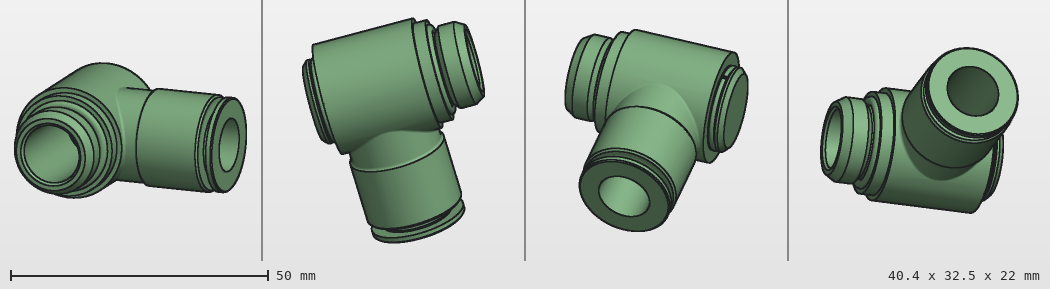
import cadquery as cq
import math


body_radius = 11.0
body_length = 20.0
body_front = -body_length / 2
body_rear = body_length / 2

flange_radius = 10.0
flange_thickness = 2.5
flange_front = body_front - flange_thickness
seal_center_radius = 8.15
seal_wire_radius = 0.9
thread_radius = 8.3
thread_root_radius = 7.2
neck_gap = 1.05
thread_start = flange_front - neck_gap
thread_lead_in = 1.05
stem_length = 9.5
stem_end = body_front - stem_length
stem_end_chamfer = 1.8

cap_radius = 8.4
cap_length = 3.0
cap_end = body_rear + cap_length
cap_chamfer = 1.0
groove_radius = 7.6
groove_shoulder = 0.1
groove_width = 1.35
groove_start = body_rear + groove_shoulder
groove_end = groove_start + groove_width
ring_wire_radius = 0.52
ring_outer_radius = 8.5
ring_center_y = groove_start + ring_wire_radius
ring_gap = 0.5
tab_length = 0.77
tab_end = groove_start + tab_length
tab_top = 7.8

neck_radius = 9.0
junction_fillet = 0.5
barrel_radius = 9.5
barrel_start = 13.8
barrel_fillet = 0.6
barrel_end = 26.5
barrel_chamfer = 0.42
end_face_radius = 8.1
end_face_bulge = 0.25
collet_radius = 6.75
collet_rim_radius = 9.25
collet_rim_start = 28.2
collet_flare_length = 0.25
collet_flare_rise = 0.1
collet_rim_chamfer = 0.25
branch_end = 29.4

stem_bore_radius = 5.75
stem_bore_chamfer = 0.5
drill_half_angle = math.radians(70)
branch_bore_radius = 5.2
drill_tip_beyond_branch_bore = 0.25


def turned_about_y(points):
    """Revolve a closed (radius, y) outline about the Y axis."""
    return cq.Workplane("XY").polyline(points).close().revolve(360, (0, 0, 0), (0, 1, 0))


def torus_about_y(center_radius, wire_radius, y):
    """Ring of round wire lying around the Y axis."""
    torus = cq.Solid.makeTorus(center_radius, wire_radius, cq.Vector(0, y, 0), cq.Vector(0, 1, 0))
    return cq.Workplane("XY").add(torus)


def make_body():
    """Plain body cylinder joined to the branch neck by a small fillet."""
    body = cq.Workplane("XZ").circle(body_radius).extrude(body_length / 2, both=True)
    neck = cq.Workplane("YZ").circle(neck_radius).extrude(barrel_start)
    joined = body.union(neck)
    margin = 0.1
    reach = neck_radius + margin
    junction_zone = cq.selectors.BoxSelector(
        (margin, -reach, -reach),
        (body_radius + margin, reach, reach),
        boundingbox=True,
    )
    return joined.edges(junction_zone).fillet(junction_fillet)


def make_stem():
    """Flange, seal ring and chamfered threaded end."""
    stem = turned_about_y([
        (0, 0),
        (flange_radius, 0),
        (flange_radius, flange_front),
        (thread_root_radius, flange_front),
        (thread_root_radius, thread_start),
        (thread_radius, thread_start - thread_lead_in),
        (thread_radius, stem_end + stem_end_chamfer),
        (thread_root_radius, stem_end),
        (0, stem_end),
    ])
    return stem.union(torus_about_y(seal_center_radius, seal_wire_radius, flange_front))


def make_cap():
    """Grooved rear cap with a retaining ring whose gap, at +Z, holds a small tab."""
    cap = turned_about_y([
        (0, 0),
        (cap_radius, 0),
        (cap_radius, groove_start),
        (groove_radius, groove_start),
        (groove_radius, groove_end),
        (cap_radius, groove_end),
        (cap_radius, cap_end - cap_chamfer),
        (cap_radius - cap_chamfer, cap_end),
        (0, cap_end),
    ])
    ring = torus_about_y(ring_outer_radius - ring_wire_radius, ring_wire_radius, ring_center_y)
    gap = cq.Workplane("XY").box(ring_gap, cap_end, body_radius, centered=(True, False, False))
    tab = cq.Workplane("XY").box(ring_gap, tab_end, tab_top, centered=(True, False, False))
    return cap.union(ring.cut(gap)).union(tab)


def make_branch():
    """Barrel with a filleted shoulder, and the release collet at its end."""
    fillet_center_x = barrel_start - barrel_fillet
    fillet_center_radius = neck_radius + barrel_fillet
    barrel_drop = fillet_center_radius - barrel_radius
    fillet_end_x = fillet_center_x + math.sqrt(barrel_fillet**2 - barrel_drop**2)
    mid_offset = barrel_fillet * math.cos(math.radians(45))
    fillet_mid = (fillet_center_x + mid_offset, fillet_center_radius - mid_offset)
    outline = (
        cq.Workplane("XY")
        .moveTo(0, 0)
        .lineTo(0, neck_radius)
        .lineTo(fillet_center_x, neck_radius)
        .threePointArc(fillet_mid, (fillet_end_x, barrel_radius))
        .lineTo(barrel_end - barrel_chamfer, barrel_radius)
        .lineTo(barrel_end, barrel_radius - barrel_chamfer)
        .lineTo(barrel_end, end_face_radius)
        .lineTo(barrel_end + end_face_bulge, collet_radius)
        .lineTo(collet_rim_start - collet_flare_length, collet_radius)
        .lineTo(collet_rim_start, collet_radius + collet_flare_rise)
        .lineTo(collet_rim_start, collet_rim_radius)
        .lineTo(branch_end - collet_rim_chamfer, collet_rim_radius)
        .lineTo(branch_end, collet_rim_radius - collet_rim_chamfer)
        .lineTo(branch_end, 0)
        .close()
    )
    return outline.revolve(360, (0, 0, 0), (1, 0, 0))


def make_bores():
    """Drilled stem bore with a conical bottom, meeting the branch bore."""
    drill_tip = branch_bore_radius + drill_tip_beyond_branch_bore
    cone_start = drill_tip - stem_bore_radius / math.tan(drill_half_angle)
    stem_bore = turned_about_y([
        (0, stem_end),
        (stem_bore_radius + stem_bore_chamfer, stem_end),
        (stem_bore_radius, stem_end + stem_bore_chamfer),
        (stem_bore_radius, cone_start),
        (0, drill_tip),
    ])
    branch_bore = cq.Workplane("YZ").circle(branch_bore_radius).extrude(branch_end)
    return stem_bore.union(branch_bore)


result = (
    make_body()
    .union(make_stem())
    .union(make_cap())
    .union(make_branch())
    .cut(make_bores())
)